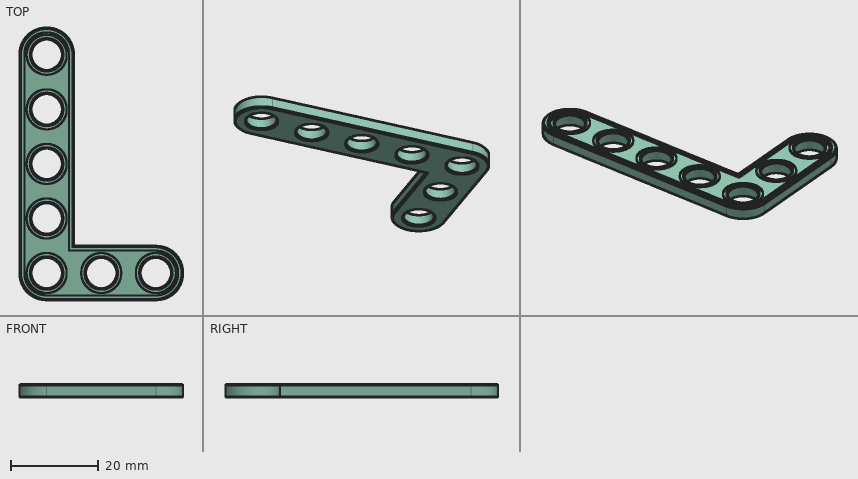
import cadquery as cq

pitch = 12.5
long_arm_holes = 5
short_arm_holes = 3
thickness = 3.1
hole_diameter = 7.0
collar_diameter = 9.2
rim_width = 1.1
recess_depth = 0.2
edge_chamfer = 0.3
hole_chamfer = 0.3

arm_radius = pitch / 2
long_reach = (long_arm_holes - 1) * pitch
short_reach = (short_arm_holes - 1) * pitch

hole_centers = [(0, row * pitch) for row in range(long_arm_holes)]
hole_centers += [(column * pitch, 0) for column in range(1, short_arm_holes)]


def angle_prism(radius, bottom, height):
    """L-shaped prism whose two arms have the given half width and round ends."""
    base = cq.Workplane("XY").workplane(offset=bottom)
    width = 2 * radius
    long_arm = base.center(0, long_reach / 2).slot2D(long_reach + width, width, 90).extrude(height)
    short_arm = base.center(short_reach / 2, 0).slot2D(short_reach + width, width).extrude(height)
    return long_arm.union(short_arm).clean()


def cylinders(diameter, bottom, height):
    """One cylinder on every hole center."""
    base = cq.Workplane("XY").workplane(offset=bottom)
    return base.pushPoints(hole_centers).circle(diameter / 2).extrude(height)


def hole_cutters():
    """Through holes with a conical mouth at both faces."""
    bore_radius = hole_diameter / 2
    mouth_radius = bore_radius + hole_chamfer
    profile = [
        (0, 0),
        (mouth_radius, 0),
        (bore_radius, hole_chamfer),
        (bore_radius, thickness - hole_chamfer),
        (mouth_radius, thickness),
        (0, thickness),
    ]
    cutter = cq.Workplane("XZ").polyline(profile).close().revolve(360, (0, 0, 0), (0, 1, 0)).val()
    return cq.Workplane("XY").pushPoints(hole_centers).eachpoint(lambda place: cutter.moved(place))


plate = angle_prism(arm_radius, 0, thickness).faces("<Z or >Z").edges().chamfer(edge_chamfer)

recess_floor = thickness - recess_depth
recess = angle_prism(arm_radius - rim_width, recess_floor, recess_depth)
recess = recess.cut(cylinders(collar_diameter, recess_floor, recess_depth))

result = plate.cut(recess).cut(hole_cutters())